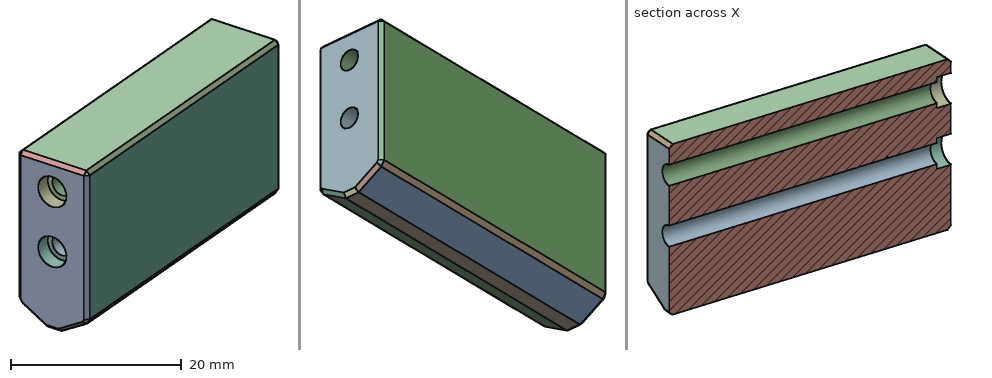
import cadquery as cq
import math

width = 10.0
length = 40.0
height = 22.5
edge_chamfer = width / 20

bottom_flat = 2.0
slope_angle = 30.0
slope_height = (width - bottom_flat) / 2 * math.tan(math.radians(slope_angle))

hole_diameter = 2.7
counterbore_diameter = 4.0
counterbore_depth = 2.0
top_hole_offset = 4.0
hole_spacing = 8.0


def make_block():
    """Extrude the pointed profile along Y, with its underside on Z = 0."""
    profile = [
        (-width / 2, height),
        (width / 2, height),
        (width / 2, slope_height),
        (bottom_flat / 2, 0),
        (-bottom_flat / 2, 0),
        (-width / 2, slope_height),
    ]
    return cq.Workplane("XZ").polyline(profile).close().extrude(length)


def chamfer_edges(block):
    """Chamfer both end outlines and the four long edges of the side walls."""
    end_edges = block.faces("<Y or >Y").edges()
    side_edges = block.faces("<X or >X").edges("|Y")
    return block.newObject(end_edges.vals() + side_edges.vals()).chamfer(edge_chamfer)


def drill_holes(block):
    """Cut the through holes, counterbored from the -Y end."""
    for row in range(2):
        hole_height = height - top_hole_offset - row * hole_spacing
        front = cq.Workplane("XZ", origin=(0, -length, hole_height))
        block = block.cut(front.circle(hole_diameter / 2).extrude(-length))
        block = block.cut(front.circle(counterbore_diameter / 2).extrude(-counterbore_depth))
    return block


result = drill_holes(chamfer_edges(make_block()))